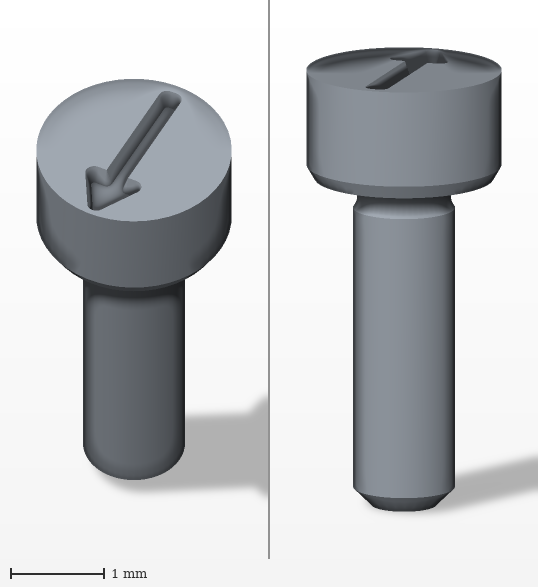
import cadquery as cq
import math

total_length = 4.8
head_radius = 2.1 / 2
shank_radius = 1.1 / 2

head_bottom = 3.61
head_chamfer_height = 0.15
head_chamfer_width = 0.085

undercut_radius = 0.2
neck_radius = 0.505

tip_chamfer = 0.195

arrow_top = 0.95
arrow_tip = -0.99
arrow_shoulder = -0.395
arrow_shaft_half_width = 0.13
arrow_head_half_width = 0.325
arrow_corner_radius = 0.095
arrow_depth = 0.19
arrow_wall_inset = 0.06


def make_body():
    """Revolve the half profile of the pin around the Z axis."""
    arc_x = neck_radius + undercut_radius
    arc_z = head_bottom - undercut_radius
    shank_top = arc_z - math.sqrt(undercut_radius**2 - (arc_x - shank_radius) ** 2)
    return (
        cq.Workplane("XZ")
        .moveTo(0, 0)
        .lineTo(shank_radius - tip_chamfer, 0)
        .lineTo(shank_radius, tip_chamfer)
        .lineTo(shank_radius, shank_top)
        .threePointArc((neck_radius, arc_z), (arc_x, head_bottom))
        .lineTo(head_radius - head_chamfer_width, head_bottom)
        .lineTo(head_radius, head_bottom + head_chamfer_height)
        .lineTo(head_radius, total_length)
        .lineTo(0, total_length)
        .close()
        .revolve(360, (0, 0), (0, 1))
    )


def make_arrow_pocket():
    """Arrow with rounded outer corners, narrowing toward its flat floor."""
    top = arrow_top - arrow_corner_radius
    tip = arrow_tip + arrow_corner_radius
    shoulder = arrow_shoulder - arrow_corner_radius
    shaft_x = arrow_shaft_half_width - arrow_corner_radius
    head_x = arrow_head_half_width - arrow_corner_radius
    right_side = [(shaft_x, top), (shaft_x, shoulder), (head_x, shoulder)]
    left_side = [(-x, y) for x, y in reversed(right_side)]
    wall_angle = math.degrees(math.atan(arrow_wall_inset / arrow_depth))
    return (
        cq.Workplane("XY", origin=(0, 0, total_length))
        .polyline(right_side + [(0, tip)] + left_side)
        .close()
        .offset2D(arrow_corner_radius, "arc")
        .extrude(-arrow_depth, taper=wall_angle)
    )


result = make_body().cut(make_arrow_pocket())